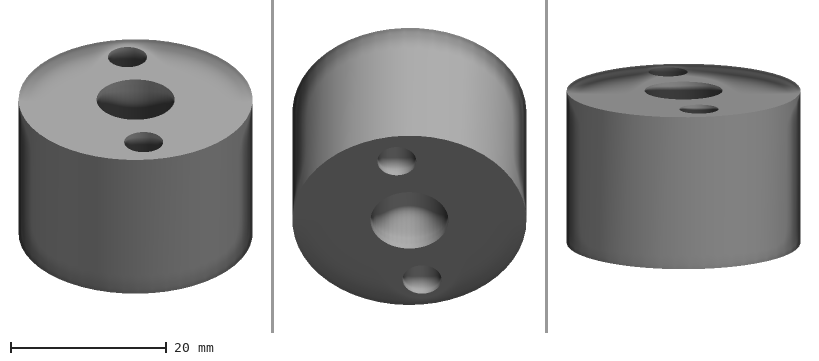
import cadquery as cq

outer_diameter = 30.0
height = outer_diameter * 2 / 3
bore_diameter = outer_diameter / 3
pin_hole_diameter = bore_diameter / 2
pin_hole_offset = outer_diameter / 4

body = cq.Workplane("XY").circle(outer_diameter / 2).extrude(height)

body = body.faces(">Z").workplane(origin=(0, 0, height)).hole(bore_diameter)

pin_hole_centres = [
    (-pin_hole_offset, pin_hole_offset),
    (pin_hole_offset, -pin_hole_offset),
]
result = (
    body.faces(">Z")
    .workplane(origin=(0, 0, height))
    .pushPoints(pin_hole_centres)
    .hole(pin_hole_diameter)
)